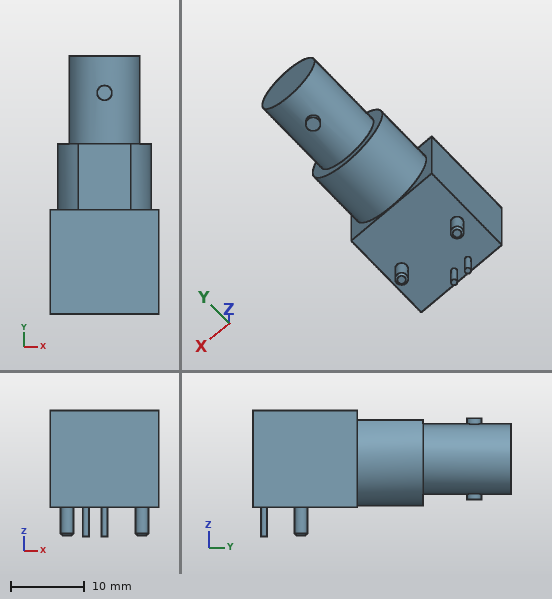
import cadquery as cq

total_length = 35.0

housing_width = 14.75
housing_depth = 14.18
housing_height = 13.15
housing_top = 6.58
housing_bottom = housing_top - housing_height

collar_diameter = 12.75
collar_length = 8.9
collar_flat_height = 5.3

barrel_diameter = 9.6
barrel_start = housing_depth + collar_length

lug_diameter = 2.0
lug_span = 11.05
lug_y = 30.0

contact_diameter = 0.88
contact_length = 3.95
contact_y = 1.5
contact_xs = (-2.52, 0.0)

post_diameter = 1.8
post_length = 3.8
post_chamfer = 0.3
post_y = 6.5
post_spacing = 10.15


def cylinder_along_y(diameter, start, end):
    """Cylinder on the connector axis between two Y positions."""
    plane = cq.Workplane("XZ", origin=(0, start, 0))
    return plane.circle(diameter / 2).extrude(start - end)


def pin_below_housing(diameter, length, x, y):
    """Round pin hanging from the underside of the housing."""
    plane = cq.Workplane("XY", origin=(x, y, housing_bottom))
    return plane.circle(diameter / 2).extrude(-length)


housing = cq.Workplane("XY", origin=(0, 0, housing_bottom)).box(
    housing_width, housing_depth, housing_height, centered=(True, False, False)
)

collar = cylinder_along_y(collar_diameter, housing_depth, barrel_start)
above_flat = cq.Workplane("XY", origin=(0, housing_depth, collar_flat_height)).box(
    collar_diameter, collar_length, collar_diameter, centered=(True, False, False)
)
collar = collar.cut(above_flat)

barrel = cylinder_along_y(barrel_diameter, barrel_start, total_length)
lugs = cq.Workplane("XY", origin=(0, lug_y, -lug_span / 2)).circle(lug_diameter / 2).extrude(lug_span)

result = housing.union(collar).union(barrel).union(lugs)

for x in contact_xs:
    result = result.union(pin_below_housing(contact_diameter, contact_length, x, contact_y))

for x in (-post_spacing / 2, post_spacing / 2):
    post = pin_below_housing(post_diameter, post_length, x, post_y)
    result = result.union(post.faces("<Z").chamfer(post_chamfer))